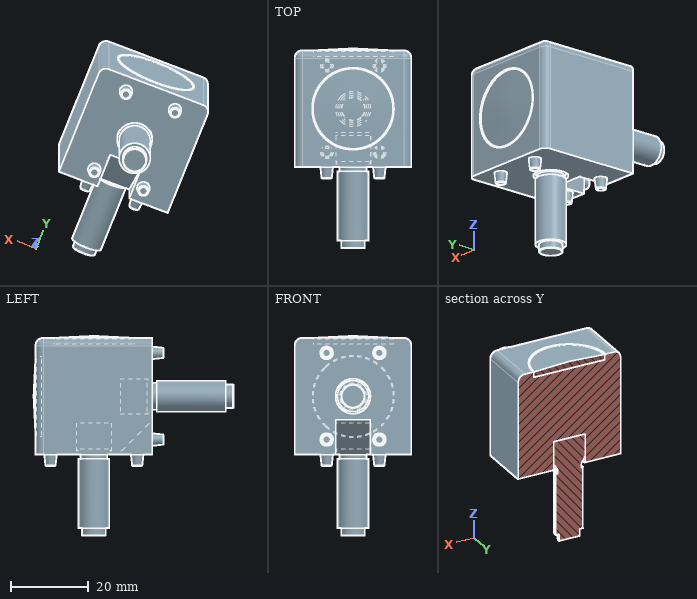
import cadquery as cq

CUBE = 30.0
HALF = CUBE / 2
EDGE_RADIUS = 2.0
SLOT_WIDTH = 8.75
SLOT_LEG = 9.0

PIN_BASE_DIAMETER = 3.3
PIN_TIP_DIAMETER = 2.65
PIN_LENGTH = 3.0
PIN_CHAMFER = 0.3
PIN_CHAMFER_LENGTH = 0.2
PIN_SPACING_X = 13.5
PIN_SPACING_SIDE = 22.25

CAP_DIAMETER = 20.55
CAP_THICKNESS = 1.55
CAP_RISE = 0.5
CAP_SEAT_CHAMFER = 0.25

OVERALL = 51.35
SHAFT_REACH = OVERALL - CUBE - CAP_RISE
SOCKET_DIAMETER = 9.0
SOCKET_DEPTH = 8.2
JOURNAL_DIAMETER = 8.0
NECK_DIAMETER = 7.0
NECK_LENGTH = 1.1
TIP_DIAMETER = 6.1
TIP_LENGTH = 2.0
TIP_CHAMFER = 0.15
COLLAR_TAPER = 1.5

SWAP_NORMAL = cq.Vector(0, 1, -1)


def swap_sides(body):
    """Mirror a body in the plane Y = Z, so a downward feature points to -Y."""
    return body.mirror(SWAP_NORMAL, (0, 0, 0))


def revolve_about_z(profile):
    """Revolve (radius, height) points about the Z axis."""
    return cq.Workplane("XZ").polyline(profile).close().revolve(360, (0, 0, 0), (0, 1, 0))


def make_pin():
    """Tapered pin hanging from Z = 0, with a chamfered end."""
    base_radius = PIN_BASE_DIAMETER / 2
    tip_radius = PIN_TIP_DIAMETER / 2
    return revolve_about_z([
        (0, 0),
        (base_radius, 0),
        (tip_radius, -PIN_LENGTH + PIN_CHAMFER_LENGTH),
        (tip_radius - PIN_CHAMFER, -PIN_LENGTH),
        (0, -PIN_LENGTH),
    ])


def make_bottom_pins():
    """Four pins at the corners of a rectangle on the bottom face."""
    pins = cq.Workplane("XY")
    for x in (-PIN_SPACING_X / 2, PIN_SPACING_X / 2):
        for y in (-PIN_SPACING_SIDE / 2, PIN_SPACING_SIDE / 2):
            pins = pins.add(make_pin().translate((x, y, -HALF)))
    return pins.combine()


def make_cap_seat():
    """Blind recess for the top cap, with a chamfered rim."""
    radius = CAP_DIAMETER / 2
    return revolve_about_z([
        (0, HALF - CAP_THICKNESS),
        (radius, HALF - CAP_THICKNESS),
        (radius, HALF - CAP_SEAT_CHAMFER),
        (radius + CAP_SEAT_CHAMFER, HALF),
        (0, HALF),
    ])


def make_shaft_socket():
    """Blind round hole in the bottom face."""
    return (
        cq.Workplane("XY", origin=(0, 0, -HALF))
        .circle(SOCKET_DIAMETER / 2)
        .extrude(SOCKET_DEPTH)
    )


def make_slot():
    """Triangular cut across the edge between the front and bottom faces."""
    return (
        cq.Workplane("YZ")
        .polyline([(-HALF, -HALF), (-HALF + SLOT_LEG, -HALF), (-HALF, -HALF + SLOT_LEG)])
        .close()
        .extrude(SLOT_WIDTH / 2, both=True)
    )


def make_housing():
    cube = cq.Workplane("XY").box(CUBE, CUBE, CUBE)
    housing = cube.edges("(|Y and >Z) or (|Z and >Y) or (>Y and >Z)").fillet(EDGE_RADIUS)
    housing = housing.cut(make_slot())
    for cutter in (make_cap_seat(), make_shaft_socket()):
        housing = housing.cut(cutter).cut(swap_sides(cutter))
    pins = make_bottom_pins()
    return housing.union(pins).union(swap_sides(pins))


def make_cap():
    """Top cap: a disc in its seat with a shallow conical face."""
    radius = CAP_DIAMETER / 2
    return revolve_about_z([
        (0, HALF - CAP_THICKNESS),
        (radius, HALF - CAP_THICKNESS),
        (radius, HALF),
        (0, HALF + CAP_RISE),
    ])


def make_shaft():
    """Stepped shaft pointing down, with its collar in the bottom socket."""
    end = -HALF - SHAFT_REACH
    tip_shoulder = end + TIP_LENGTH
    neck_shoulder = -HALF - NECK_LENGTH
    return revolve_about_z([
        (0, -HALF + SOCKET_DEPTH),
        (SOCKET_DIAMETER / 2, -HALF + SOCKET_DEPTH),
        (SOCKET_DIAMETER / 2, -HALF + COLLAR_TAPER),
        (NECK_DIAMETER / 2, -HALF),
        (NECK_DIAMETER / 2, neck_shoulder),
        (JOURNAL_DIAMETER / 2, neck_shoulder),
        (JOURNAL_DIAMETER / 2, tip_shoulder),
        (TIP_DIAMETER / 2, tip_shoulder),
        (TIP_DIAMETER / 2, end + TIP_CHAMFER),
        (TIP_DIAMETER / 2 - TIP_CHAMFER, end),
        (0, end),
    ])


def make_pair(body):
    """The body on the vertical axis and its mirrored twin on the Y axis."""
    return [solid for copy in (body, swap_sides(body)) for solid in copy.solids().vals()]


housing = make_housing().solids().val()
caps = make_pair(make_cap())
shafts = make_pair(make_shaft())

result = cq.Compound.makeCompound([housing, *caps, *shafts])